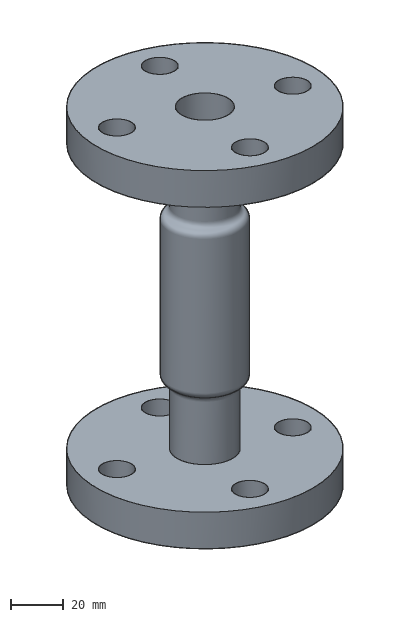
import cadquery as cq

total_length = 162.0
bore_diameter = 22.4

flange_diameter = 105.0
flange_thickness = 15.7
bolt_circle_diameter = 75.0
bolt_hole_diameter = 14.0
bolt_count = 4
first_bolt_angle = 45.0

pipe_diameter = 26.9
sleeve_diameter = 34.0
shoulder_height = 5.5
shoulder_start = 42.5

half_length = total_length / 2
flange_inner_z = half_length - flange_thickness
flange_radius = flange_diameter / 2
bore_radius = bore_diameter / 2
pipe_radius = pipe_diameter / 2
sleeve_radius = sleeve_diameter / 2


def make_body():
    """Bored pipe with sleeve and plain flanges, symmetric about Z = 0.

    Each shoulder is an S-curve of two equal arcs, tangent to the sleeve, the pipe and each other.
    """
    pipe_end_z = half_length - shoulder_start
    sleeve_end_z = pipe_end_z - shoulder_height
    middle_radius = (pipe_radius + sleeve_radius) / 2
    middle_z = (pipe_end_z + sleeve_end_z) / 2

    outline = (
        cq.Workplane("XZ")
        .moveTo(bore_radius, -half_length)
        .lineTo(flange_radius, -half_length)
        .lineTo(flange_radius, -flange_inner_z)
        .lineTo(pipe_radius, -flange_inner_z)
        .lineTo(pipe_radius, -pipe_end_z)
        .tangentArcPoint((middle_radius, -middle_z), relative=False)
        .tangentArcPoint((sleeve_radius, -sleeve_end_z), relative=False)
        .lineTo(sleeve_radius, sleeve_end_z)
        .tangentArcPoint((middle_radius, middle_z), relative=False)
        .tangentArcPoint((pipe_radius, pipe_end_z), relative=False)
        .lineTo(pipe_radius, flange_inner_z)
        .lineTo(flange_radius, flange_inner_z)
        .lineTo(flange_radius, half_length)
        .lineTo(bore_radius, half_length)
        .close()
    )
    return outline.revolve(360, (0, 0, 0), (0, 1, 0))


def make_bolt_holes():
    """Cutters for the bolt holes, long enough to pass through both flanges."""
    return (
        cq.Workplane("XY")
        .polarArray(bolt_circle_diameter / 2, first_bolt_angle, 360, bolt_count)
        .circle(bolt_hole_diameter / 2)
        .extrude(half_length, both=True)
    )


result = make_body().cut(make_bolt_holes())